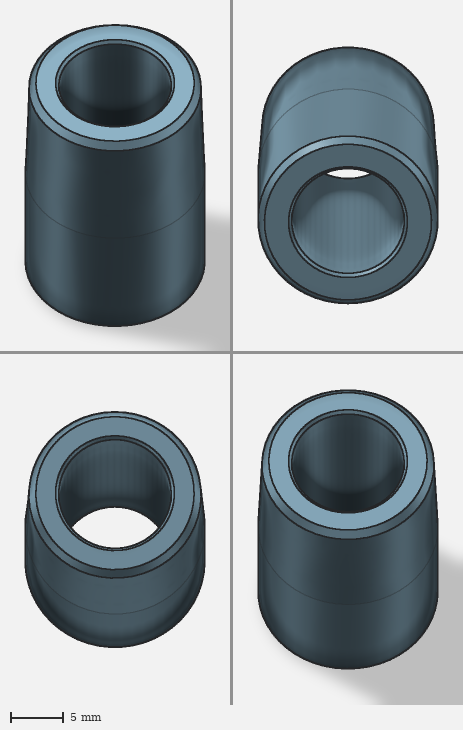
import cadquery as cq

length = 25.4
outer_radius = 17.15 / 2
bore_radius = 5.35
straight_height = 12.95

bottom_chamfer = 0.6
top_chamfer = 0.65
bore_chamfer = 0.3

shoulder_radius = 8.2
shoulder_height = length - top_chamfer

body = (
    cq.Workplane("XZ")
    .lineTo(outer_radius - bottom_chamfer, 0)
    .lineTo(outer_radius, bottom_chamfer)
    .lineTo(outer_radius, straight_height)
    .lineTo(shoulder_radius, shoulder_height)
    .lineTo(shoulder_radius - top_chamfer, length)
    .lineTo(0, length)
    .close()
    .revolve(360, (0, 0, 0), (0, 1, 0))
)

bore = cq.Workplane("XY").circle(bore_radius).extrude(length)
sleeve = body.cut(bore)
bore_rims = sleeve.edges(cq.selectors.RadiusNthSelector(0))
result = bore_rims.chamfer(bore_chamfer)